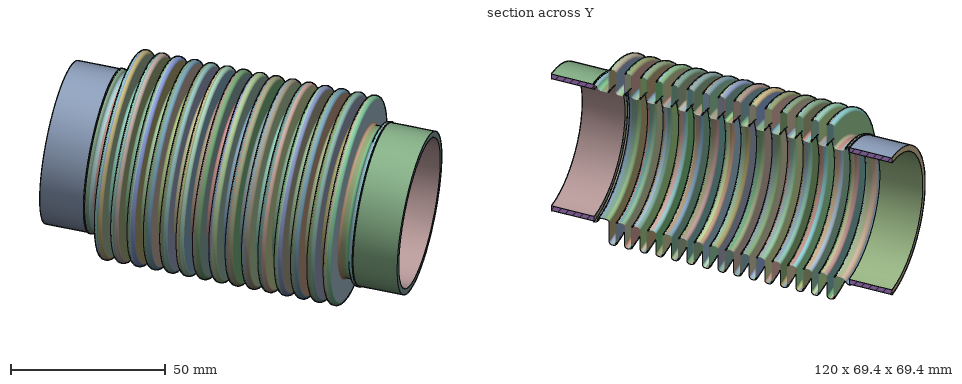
import cadquery as cq
import math

total_length = 120.0
cuff_start = 14.8
neck_start = 15.1
neck_length = 2.6
pipe_length = neck_start

pipe_radius = 27.0
pipe_wall = 2.0
bellows_wall = 0.3
cuff_radius = pipe_radius + bellows_wall
crest_radius = 34.7
root_radius = 25.2

convolution_count = 15
crest_span = 76.8
pitch = crest_span / (convolution_count - 1)
crest_width = 2.8
crest_bend = 1.2
root_bend = 0.8

half_length = total_length / 2
cuff_end_x = half_length - cuff_start
neck_start_x = half_length - neck_start
neck_end_x = neck_start_x - neck_length

neck_drop = cuff_radius - root_radius
neck_bend = (neck_length**2 + neck_drop**2) / (4 * neck_drop)


def add_bend(path, start, end, center):
    """Add the shorter arc from start to end around center."""
    radius = math.dist(start, center)
    toward_x = (start[0] + end[0]) / 2 - center[0]
    toward_r = (start[1] + end[1]) / 2 - center[1]
    stretch = radius / math.hypot(toward_x, toward_r)
    middle = (center[0] + toward_x * stretch, center[1] + toward_r * stretch)
    return path.threePointArc(middle, end)


def add_neck(path, side, depth):
    """Add the S-bend between cuff and root: side -1 goes down into the root, side +1 comes back up."""
    cuff_center = (side * neck_start_x, cuff_radius - neck_bend)
    root_center = (side * neck_end_x, root_radius + neck_bend)
    cuff_point = (side * neck_start_x, cuff_radius - depth)
    root_point = (side * neck_end_x, root_radius - depth)
    share = (neck_bend - depth) / math.dist(cuff_center, root_center)
    meeting_point = (
        cuff_center[0] + share * (root_center[0] - cuff_center[0]),
        cuff_center[1] + share * (root_center[1] - cuff_center[1]),
    )
    if side < 0:
        path = path.lineTo(*cuff_point)
        path = add_bend(path, cuff_point, meeting_point, cuff_center)
        return add_bend(path, meeting_point, root_point, root_center)
    path = path.lineTo(*root_point)
    path = add_bend(path, root_point, meeting_point, root_center)
    return add_bend(path, meeting_point, cuff_point, cuff_center)


def add_convolution(path, x, depth):
    """Add one crest centred at x, from the root before it to the root after it."""
    root = root_radius - depth
    crest = crest_radius - depth
    half_width = crest_width / 2 - depth
    half_flat = crest_width / 2 - crest_bend
    half_foot = crest_width / 2 + root_bend
    flank_bottom = root_radius + root_bend
    flank_top = crest_radius - crest_bend

    path = path.lineTo(x - half_foot, root)
    flank_start = (x - half_width, flank_bottom)
    path = add_bend(path, (x - half_foot, root), flank_start, (x - half_foot, flank_bottom))
    path = path.lineTo(x - half_width, flank_top)
    path = add_bend(path, (x - half_width, flank_top), (x - half_flat, crest), (x - half_flat, flank_top))
    path = path.lineTo(x + half_flat, crest)
    path = add_bend(path, (x + half_flat, crest), (x + half_width, flank_top), (x + half_flat, flank_top))
    flank_end = (x + half_width, flank_bottom)
    path = path.lineTo(*flank_end)
    return add_bend(path, flank_end, (x + half_foot, root), (x + half_foot, flank_bottom))


def bellows_body(depth):
    """Solid body whose surface lies depth beneath the outside of the bellows."""
    cuff = cuff_radius - depth
    path = cq.Workplane("XY").moveTo(-cuff_end_x, 0).lineTo(-cuff_end_x, cuff)
    path = add_neck(path, -1, depth)
    for index in range(convolution_count):
        path = add_convolution(path, index * pitch - crest_span / 2, depth)
    path = add_neck(path, 1, depth)
    path = path.lineTo(cuff_end_x, cuff).lineTo(cuff_end_x, 0).close()
    return path.revolve(360, (0, 0, 0), (1, 0, 0))


def pipe_stub(start_x):
    """Plain pipe running in +X from start_x."""
    section = cq.Workplane("YZ", origin=(start_x, 0, 0))
    return section.circle(pipe_radius).circle(pipe_radius - pipe_wall).extrude(pipe_length)


bellows = bellows_body(0).cut(bellows_body(bellows_wall))
left_pipe = pipe_stub(-half_length)
right_pipe = pipe_stub(half_length - pipe_length)

result = bellows.union(left_pipe).union(right_pipe)